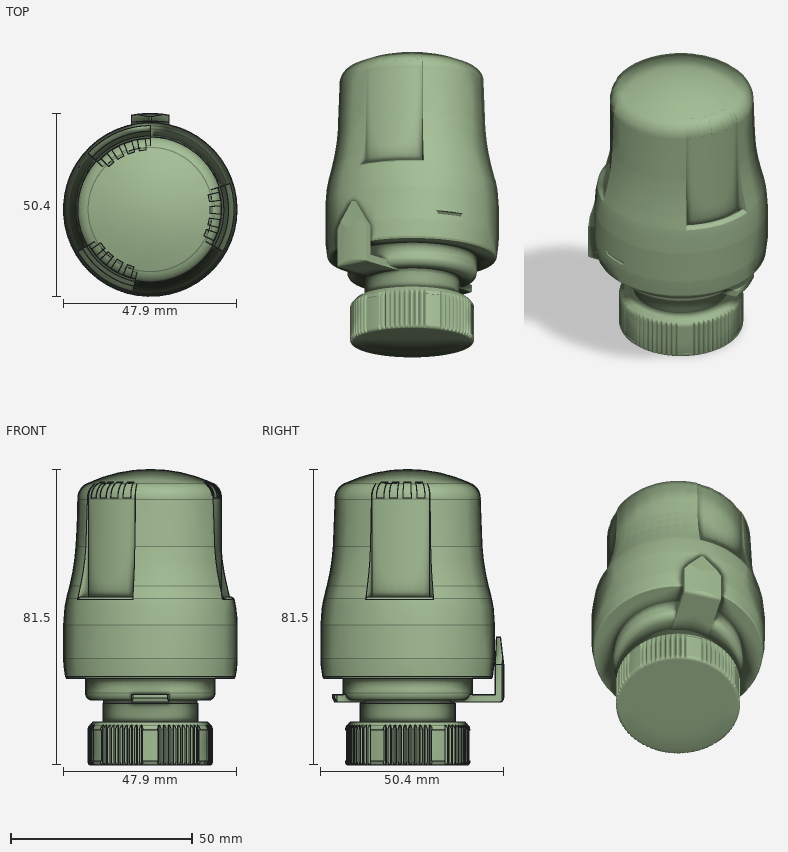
import cadquery as cq
import math

NUT_RADIUS = 17.13
NUT_HEIGHT = 11.95
NUT_TOP_RADIUS = 15.7
NUT_CHAMFER_RADIUS = 16.6
NUT_CHAMFER_BOTTOM = 11.0
NUT_ROUND_MID = (16.98, 10.5)
NUT_ROUND_START = 9.8
NUT_BOTTOM_ROUND = 0.9
GRIP_PANELS = 6
PANEL_HALF_ANGLE = 7.3
PANEL_DEPTH = 0.2
PANEL_BOTTOM = 1.2
PANEL_TOP = 9.7
FIRST_PANEL_ANGLE = 30.0
RIDGE_PITCH = 4.8
RIDGES_PER_GROUP = 9
KNURL_DEPTH = 0.6
KNURL_HALF_ANGLE = 1.5

NECK_RADIUS = 13.12
UNDERCUT_RADIUS = 12.95
UNDERCUT_BOTTOM = 17.0
COLLAR_RADIUS = 17.85
COLLAR_BOTTOM = 17.9
COLLAR_ROUND = 2.0

HANDLE_RADIUS = 23.93
HANDLE_BOTTOM = 23.9
HANDLE_BOTTOM_RADIUS = 23.1
RIM_RADIUS = 23.4
RIM_TOP = 24.4
BAND_BOTTOM = 29.4
BAND_TOP = 38.6
SHOULDER_RADIUS = 23.06
SHOULDER_TOP = 46.0
FLANK_RADIUS = 22.2
FLANK_TOP = 49.4
GRIP_BOTTOM_RADIUS = 20.5
GRIP_BOTTOM = 60.3
GRIP_TOP_RADIUS = 20.0
GRIP_TOP = 73.2
CROWN_MID = (19.2, 76.1)
DOME_RADIUS = 17.15
DOME_BOTTOM = 77.7
TOTAL_HEIGHT = 81.5

RECESS_ANGLES = (-6.0, 114.0, 234.0)
RECESS_SPAN = 48.0
RECESS_RADIUS = 19.62
RECESS_CROWN_START = 73.4
RECESS_CROWN_MID = (18.8, 76.4)
RECESS_CROWN_RADIUS = 16.55
GUTTER_BOTTOM = 45.2
GUTTER_RADIUS = 20.3
LIP_RADIUS = 21.6
LIP_TOP = 46.4
LIP_MID = (22.6, 46.2)
LIP_OUTER = (23.3, 45.4)
FLUTES_PER_RECESS = 4
FLUTE_PITCH = 11.2
FLUTE_SPAN = 6.6
FLUTE_DEPTH = 0.1
FLUTE_BOTTOM = 73.6
CUT_CLEARANCE = 3.0

NOTCH_ANGLE = 155.6
NOTCH_TOP = 31.85
NOTCH_HEIGHT = 1.0
NOTCH_WIDTH = 8.0
NOTCH_TAPER = 0.5
NOTCH_DEPTH = 1.2

CLIP_WIDTH = 10.4
CLIP_BOTTOM = 17.4
CLIP_THICKNESS = 2.05
CLIP_BACK_RADIUS = 26.49
CLIP_FRONT_RADIUS = 20.66
CLIP_FRONT_CHAMFER_HEIGHT = 1.05
CLIP_FRONT_CHAMFER_DEPTH = 0.5
CLIP_CORNER_CHAMFER = 0.5
LEG_INNER = 24.1
LEG_ROUND = 1.2
POINTER_BOTTOM = 27.7
POINTER_TOP = 35.3
POINTER_TIP_INNER = 24.45
POINTER_TIP_OUTER = 25.6
POINTER_TIP_WIDTH = 0.6


def revolve_full(profile):
    return profile.close().revolve(360, (0, 0, 0), (0, 1, 0))


def revolve_sector(profile, center_angle, span):
    """Revolve a closed XZ profile about Z over a span centred on an angle."""
    sector = profile.revolve(span, (0, 0, 0), (0, 1, 0))
    middle = sector.val().Center()
    turn = center_angle - math.degrees(math.atan2(middle.y, middle.x))
    return sector.rotate((0, 0, 0), (0, 0, 1), turn)


def polar(radius, angle):
    a = math.radians(angle)
    return (radius * math.cos(a), radius * math.sin(a))


def dome_height(radius):
    """Height of the spherical dome at a distance from the axis."""
    rise = TOTAL_HEIGHT - DOME_BOTTOM
    sphere = (DOME_RADIUS ** 2 + rise ** 2) / (2 * rise)
    return TOTAL_HEIGHT - sphere + math.sqrt(sphere ** 2 - radius ** 2)


def make_nut():
    corner = NUT_BOTTOM_ROUND * (1 - math.sqrt(0.5))
    bottom_mid = (NUT_RADIUS - corner, corner)
    nut = revolve_full(
        cq.Workplane("XZ")
        .lineTo(NUT_RADIUS - NUT_BOTTOM_ROUND, 0)
        .threePointArc(bottom_mid, (NUT_RADIUS, NUT_BOTTOM_ROUND))
        .lineTo(NUT_RADIUS, NUT_ROUND_START)
        .threePointArc(NUT_ROUND_MID, (NUT_CHAMFER_RADIUS, NUT_CHAMFER_BOTTOM))
        .lineTo(NUT_TOP_RADIUS, NUT_HEIGHT)
        .lineTo(0, NUT_HEIGHT)
    )
    return nut.cut(make_panels()).cut(make_knurl())


def make_panels():
    """Smooth, slightly sunken panels between the knurled groups."""
    width = PANEL_DEPTH + CUT_CLEARANCE
    height = PANEL_TOP - PANEL_BOTTOM
    panels = []
    for i in range(GRIP_PANELS):
        profile = (
            cq.Workplane("XZ")
            .moveTo(NUT_RADIUS - PANEL_DEPTH, PANEL_BOTTOM)
            .rect(width, height, centered=False)
        )
        angle = FIRST_PANEL_ANGLE + i * 360 / GRIP_PANELS
        panels.append(revolve_sector(profile, angle, 2 * PANEL_HALF_ANGLE).val())
    return cq.Workplane(cq.Compound.makeCompound(panels))


def make_knurl():
    """V grooves that leave a group of ridges between neighbouring panels."""
    root = NUT_RADIUS - KNURL_DEPTH
    mouth = NUT_RADIUS + KNURL_DEPTH
    mouth_half_angle = 2 * KNURL_HALF_ANGLE
    grooves = []
    for group in range(GRIP_PANELS):
        middle = FIRST_PANEL_ANGLE + (group + 0.5) * 360 / GRIP_PANELS
        for i in range(RIDGES_PER_GROUP + 1):
            angle = middle + (i - RIDGES_PER_GROUP / 2) * RIDGE_PITCH
            corners = [
                polar(root, angle),
                polar(mouth, angle - mouth_half_angle),
                polar(mouth, angle + mouth_half_angle),
            ]
            grooves.append(cq.Workplane("XY").polyline(corners).close().extrude(NUT_HEIGHT).val())
    return cq.Workplane(cq.Compound.makeCompound(grooves))


def make_handle():
    """Necks, collar and domed handle, turned as one profile."""
    corner = COLLAR_ROUND * (1 - math.sqrt(0.5))
    dome_mid_radius = DOME_RADIUS / 2
    return revolve_full(
        cq.Workplane("XZ")
        .moveTo(0, NUT_HEIGHT)
        .lineTo(NECK_RADIUS, NUT_HEIGHT)
        .lineTo(NECK_RADIUS, UNDERCUT_BOTTOM)
        .lineTo(UNDERCUT_RADIUS, UNDERCUT_BOTTOM)
        .lineTo(UNDERCUT_RADIUS, COLLAR_BOTTOM)
        .lineTo(COLLAR_RADIUS - COLLAR_ROUND, COLLAR_BOTTOM)
        .threePointArc(
            (COLLAR_RADIUS - corner, COLLAR_BOTTOM + corner),
            (COLLAR_RADIUS, COLLAR_BOTTOM + COLLAR_ROUND),
        )
        .lineTo(COLLAR_RADIUS, HANDLE_BOTTOM)
        .lineTo(HANDLE_BOTTOM_RADIUS, HANDLE_BOTTOM)
        .lineTo(RIM_RADIUS, RIM_TOP)
        .threePointArc(bulge_mid(), (HANDLE_RADIUS, BAND_BOTTOM))
        .lineTo(HANDLE_RADIUS, BAND_TOP)
        .tangentArcPoint((SHOULDER_RADIUS, SHOULDER_TOP), relative=False)
        .lineTo(FLANK_RADIUS, FLANK_TOP)
        .tangentArcPoint((GRIP_BOTTOM_RADIUS, GRIP_BOTTOM), relative=False)
        .lineTo(GRIP_TOP_RADIUS, GRIP_TOP)
        .threePointArc(CROWN_MID, (DOME_RADIUS, DOME_BOTTOM))
        .threePointArc((dome_mid_radius, dome_height(dome_mid_radius)), (0, TOTAL_HEIGHT))
    )


def bulge_mid():
    """Middle of the arc that leaves the handle band tangentially and curves in to the rim."""
    inset = HANDLE_RADIUS - RIM_RADIUS
    drop = BAND_BOTTOM - RIM_TOP
    arc_radius = (inset ** 2 + drop ** 2) / (2 * inset)
    mid_inset = arc_radius - math.sqrt(arc_radius ** 2 - (drop / 2) ** 2)
    return (HANDLE_RADIUS - mid_inset, BAND_BOTTOM - drop / 2)


def make_recess(angle):
    """Finger recess: a sunken grip with a gutter behind a rounded lip."""
    outside = HANDLE_RADIUS + CUT_CLEARANCE
    above = TOTAL_HEIGHT + CUT_CLEARANCE
    profile = (
        cq.Workplane("XZ")
        .moveTo(RECESS_CROWN_RADIUS, dome_height(RECESS_CROWN_RADIUS))
        .threePointArc(RECESS_CROWN_MID, (RECESS_RADIUS, RECESS_CROWN_START))
        .lineTo(RECESS_RADIUS, GUTTER_BOTTOM)
        .lineTo(GUTTER_RADIUS, GUTTER_BOTTOM)
        .lineTo(LIP_RADIUS, LIP_TOP)
        .threePointArc(LIP_MID, LIP_OUTER)
        .lineTo(outside, LIP_OUTER[1])
        .lineTo(outside, above)
        .lineTo(RECESS_CROWN_RADIUS, above)
        .close()
    )
    return revolve_sector(profile, angle, RECESS_SPAN)


def make_flutes(recess_angle):
    """Shallow flutes over the rounded top of a finger recess."""
    flutes = []
    start = (RECESS_CROWN_RADIUS - FLUTE_DEPTH, dome_height(RECESS_CROWN_RADIUS))
    middle = (RECESS_CROWN_MID[0] - FLUTE_DEPTH, RECESS_CROWN_MID[1])
    end = (RECESS_RADIUS - FLUTE_DEPTH, FLUTE_BOTTOM)
    outside = RECESS_RADIUS + CUT_CLEARANCE
    for i in range(FLUTES_PER_RECESS):
        profile = (
            cq.Workplane("XZ")
            .moveTo(*start)
            .threePointArc(middle, end)
            .lineTo(outside, end[1])
            .lineTo(outside, TOTAL_HEIGHT)
            .lineTo(start[0], TOTAL_HEIGHT)
            .close()
        )
        angle = recess_angle + (i - (FLUTES_PER_RECESS - 1) / 2) * FLUTE_PITCH
        flutes.append(revolve_sector(profile, angle, FLUTE_SPAN).val())
    return cq.Workplane(cq.Compound.makeCompound(flutes))


def make_notch():
    """Small trapezoid notch in the lower band, with its narrow side down."""
    floor_width = NOTCH_WIDTH - 2 * NOTCH_TAPER
    floor = NOTCH_TOP - NOTCH_HEIGHT
    outline = [
        (-NOTCH_WIDTH / 2, NOTCH_TOP),
        (-floor_width / 2, floor),
        (floor_width / 2, floor),
        (NOTCH_WIDTH / 2, NOTCH_TOP),
    ]
    notch = (
        cq.Workplane("YZ", origin=(HANDLE_RADIUS - NOTCH_DEPTH, 0, 0))
        .polyline(outline)
        .close()
        .extrude(NOTCH_DEPTH + CUT_CLEARANCE)
    )
    return notch.rotate((0, 0, 0), (0, 0, 1), NOTCH_ANGLE)


def make_clip():
    """Strip under the collar, turned up at the back into a pointed, tapering pointer."""
    strip_top = CLIP_BOTTOM + CLIP_THICKNESS
    corner = LEG_ROUND * (1 - math.sqrt(0.5))
    side = (
        cq.Workplane("YZ", origin=(-CLIP_WIDTH / 2, 0, 0))
        .moveTo(-CLIP_FRONT_RADIUS, CLIP_BOTTOM)
        .lineTo(CLIP_BACK_RADIUS - LEG_ROUND, CLIP_BOTTOM)
        .threePointArc(
            (CLIP_BACK_RADIUS - corner, CLIP_BOTTOM + corner),
            (CLIP_BACK_RADIUS, CLIP_BOTTOM + LEG_ROUND),
        )
        .lineTo(CLIP_BACK_RADIUS, POINTER_BOTTOM)
        .lineTo(POINTER_TIP_OUTER, POINTER_TOP)
        .lineTo(POINTER_TIP_INNER, POINTER_TOP)
        .lineTo(LEG_INNER, POINTER_BOTTOM)
        .lineTo(LEG_INNER, strip_top)
        .lineTo(-CLIP_FRONT_RADIUS, strip_top)
        .close()
        .extrude(CLIP_WIDTH)
    )
    front = [
        (-CLIP_WIDTH / 2, CLIP_BOTTOM),
        (-CLIP_WIDTH / 2, POINTER_BOTTOM),
        (-POINTER_TIP_WIDTH / 2, POINTER_TOP),
        (POINTER_TIP_WIDTH / 2, POINTER_TOP),
        (CLIP_WIDTH / 2, POINTER_BOTTOM),
        (CLIP_WIDTH / 2, CLIP_BOTTOM),
    ]
    front_shape = (
        cq.Workplane("XZ").polyline(front).close().extrude(CLIP_BACK_RADIUS, both=True)
    )
    back_limit = cq.Workplane("XY").circle(CLIP_BACK_RADIUS).extrude(TOTAL_HEIGHT)
    front_end = (
        cq.Workplane("XY", origin=(0, 0, CLIP_BOTTOM))
        .circle(CLIP_FRONT_RADIUS)
        .extrude(CLIP_THICKNESS)
        .faces("<Z")
        .chamfer(CLIP_FRONT_CHAMFER_HEIGHT, CLIP_FRONT_CHAMFER_DEPTH)
    )
    back_half = cq.Workplane("XY").box(
        CLIP_WIDTH, CLIP_BACK_RADIUS, TOTAL_HEIGHT, centered=(True, False, False)
    )
    clip_limit = back_limit.intersect(back_half).union(front_end)
    clip = side.intersect(front_shape).intersect(clip_limit)
    return clip.edges("|Z").edges("<Y").chamfer(CLIP_CORNER_CHAMFER)


handle = make_handle().cut(make_notch())
result = handle.union(make_nut()).union(make_clip())
for recess_angle in RECESS_ANGLES:
    result = result.cut(make_recess(recess_angle))
    result = result.cut(make_flutes(recess_angle))